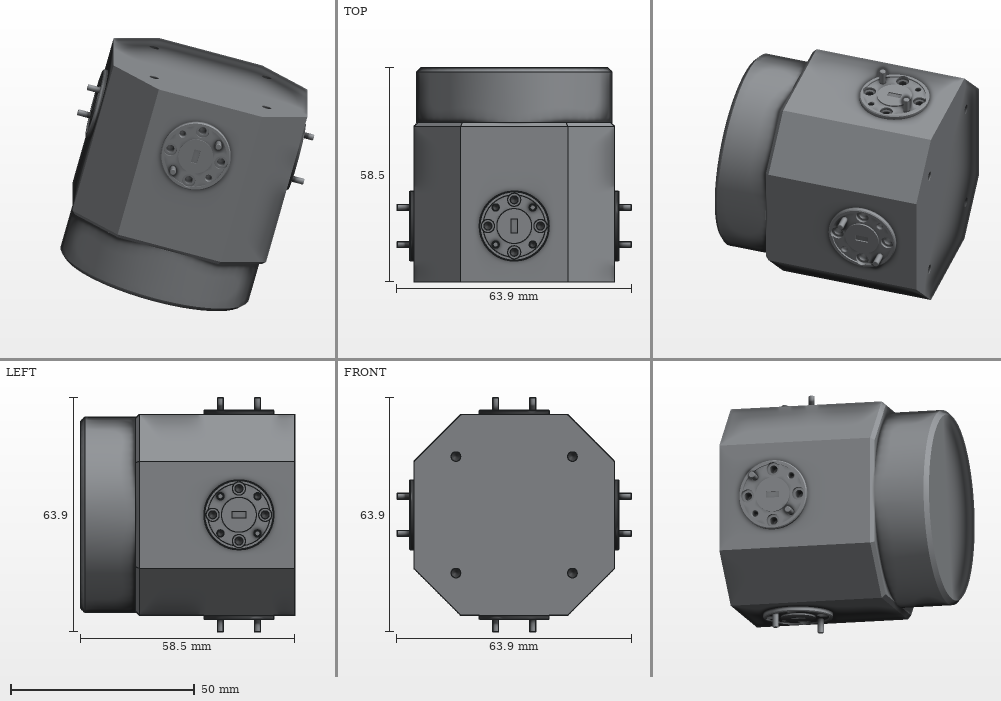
import cadquery as cq
import math

TOTAL_WIDTH = 63.9
TOTAL_LENGTH = 58.45
BLOCK_WIDTH = 54.75
BLOCK_CORNER = 12.8
BLOCK_REAR_CHAMFER = 1.0

CAP_DIAMETER = 53.35
CAP_LENGTH = 15.0
CAP_CHAMFER = 1.2
BLOCK_LENGTH = TOTAL_LENGTH - CAP_LENGTH

MOUNT_PITCH = 31.75
MOUNT_DIAMETER = 2.6
MOUNT_DEPTH = 5.1
DRILL_POINT_ANGLE = 118.0

FLANGE_COUNT = 4
FLANGE_Y = 15.25
FLANGE_DIAMETER = 19.1
FLANGE_HEIGHT = 1.2
FLANGE_CHAMFER = 0.25
FLANGE_FACE = BLOCK_WIDTH / 2 + FLANGE_HEIGHT
RECESS_DIAMETER = 17.0
BOSS_DIAMETER = 9.5
RECESS_DEPTH = 0.45
RECESS_FLOOR = FLANGE_FACE - RECESS_DEPTH

WINDOW_WIDTH = 1.7
WINDOW_LENGTH = 3.8
WINDOW_DEPTH = 0.3

BOLT_CIRCLE = 14.3
SCREW_DIAMETER = 2.2
SCREW_DEPTH = 5.1
COUNTERBORE_DIAMETER = 3.6
COUNTERBORE_DEPTH = 1.2
DOWEL_DIAMETER = 1.65
DOWEL_DEPTH = 3.85
DOWEL_COUNTERSINK = 0.16
PIN_TIP_CHAMFER = 0.1
PIN_TIP = TOTAL_WIDTH / 2
PIN_END = RECESS_FLOOR - DOWEL_DEPTH


def bolt_circle_points(angles):
    """Points on the flange bolt circle, as (X, Y) pairs on the upper flange."""
    radius = BOLT_CIRCLE / 2
    return [
        (
            radius * math.cos(math.radians(angle)),
            FLANGE_Y + radius * math.sin(math.radians(angle)),
        )
        for angle in angles
    ]


SCREW_POINTS = bolt_circle_points([0, 90, 180, 270])
PIN_POINTS = bolt_circle_points([45, 225])
DOWEL_POINTS = bolt_circle_points([135, 315])


def level(z):
    """A workplane at height z, facing up."""
    return cq.Workplane("XY", origin=(0, 0, z))


def around_housing(shape):
    """Copies of an upper-flange feature, one for each main flat."""
    step = 360 / FLANGE_COUNT
    return [shape.rotate((0, 0, 0), (0, 1, 0), step * i) for i in range(FLANGE_COUNT)]


def drilled_hole(diameter, depth):
    """A drill-shaped cutter: a cylinder going down from the origin, with a conical tip."""
    radius = diameter / 2
    tip_length = radius / math.tan(math.radians(DRILL_POINT_ANGLE / 2))
    profile = [(0, 0), (radius, 0), (radius, -depth), (0, -depth - tip_length)]
    return cq.Workplane("XZ").polyline(profile).close().revolve(360, (0, 0), (0, 1))


def make_block():
    """The octagonal block, chamfered around its rear face."""
    block = (
        cq.Workplane("XZ")
        .rect(BLOCK_WIDTH, BLOCK_WIDTH)
        .extrude(-BLOCK_LENGTH)
        .edges("|Y")
        .chamfer(BLOCK_CORNER)
    )
    return block.faces(">Y").edges().chamfer(BLOCK_REAR_CHAMFER)


def make_cap():
    """The round cap, chamfered around its rear face."""
    cap = (
        cq.Workplane("XZ", origin=(0, BLOCK_LENGTH, 0))
        .circle(CAP_DIAMETER / 2)
        .extrude(-CAP_LENGTH)
    )
    return cap.faces(">Y").edges().chamfer(CAP_CHAMFER)


def cut_mounting_holes(body):
    """Cut the four blind holes into the front face, pointing along +Y."""
    cutter = drilled_hole(MOUNT_DIAMETER, MOUNT_DEPTH).rotate((0, 0, 0), (1, 0, 0), 90)
    offset = MOUNT_PITCH / 2
    for x in (-offset, offset):
        for z in (-offset, offset):
            body = body.cut(cutter.translate((x, 0, z)))
    return body


def make_flange():
    """The upper flange: a disc with a raised rim and a raised centre boss."""
    flange = (
        level(BLOCK_WIDTH / 2)
        .center(0, FLANGE_Y)
        .circle(FLANGE_DIAMETER / 2)
        .extrude(FLANGE_HEIGHT)
        .faces(">Z")
        .edges()
        .chamfer(FLANGE_CHAMFER)
    )
    recess = (
        level(RECESS_FLOOR)
        .center(0, FLANGE_Y)
        .circle(RECESS_DIAMETER / 2)
        .circle(BOSS_DIAMETER / 2)
        .extrude(RECESS_DEPTH)
    )
    return flange.cut(recess)


def flange_cutters():
    """Everything cut into the upper flange and the block below it."""
    window = (
        level(FLANGE_FACE - WINDOW_DEPTH)
        .center(0, FLANGE_Y)
        .rect(WINDOW_WIDTH, WINDOW_LENGTH)
        .extrude(WINDOW_DEPTH)
    )
    counterbores = (
        level(FLANGE_FACE - COUNTERBORE_DEPTH)
        .pushPoints(SCREW_POINTS)
        .circle(COUNTERBORE_DIAMETER / 2)
        .extrude(COUNTERBORE_DEPTH)
    )
    pin_sockets = (
        level(PIN_END)
        .pushPoints(PIN_POINTS)
        .circle(DOWEL_DIAMETER / 2)
        .extrude(DOWEL_DEPTH)
    )
    screw_hole = drilled_hole(SCREW_DIAMETER, SCREW_DEPTH)
    dowel_hole = drilled_hole(DOWEL_DIAMETER, DOWEL_DEPTH)
    screw_holes = [screw_hole.translate((x, y, RECESS_FLOOR)) for x, y in SCREW_POINTS]
    dowel_holes = [dowel_hole.translate((x, y, RECESS_FLOOR)) for x, y in DOWEL_POINTS]
    countersinks = (
        level(RECESS_FLOOR)
        .pushPoints(PIN_POINTS + DOWEL_POINTS)
        .circle(DOWEL_DIAMETER / 2 + DOWEL_COUNTERSINK)
        .extrude(-DOWEL_COUNTERSINK, taper=45)
    )
    return [window, counterbores, pin_sockets, countersinks, *screw_holes, *dowel_holes]


def make_housing():
    """The block, cap and flanges as one body."""
    body = cut_mounting_holes(make_block().union(make_cap()))
    for flange in around_housing(make_flange()):
        body = body.union(flange)
    for cutter in flange_cutters():
        for copy in around_housing(cutter):
            body = body.cut(copy)
    return body


def make_pins():
    """Solids of the two dowel pins in each flange, seated in their sockets."""
    pins = []
    for point in PIN_POINTS:
        pin = (
            level(PIN_END)
            .pushPoints([point])
            .circle(DOWEL_DIAMETER / 2)
            .extrude(PIN_TIP - PIN_END)
            .faces(">Z")
            .edges()
            .chamfer(PIN_TIP_CHAMFER)
        )
        pins.extend(copy.val() for copy in around_housing(pin))
    return pins


housing = make_housing()
pins = make_pins()
result = cq.Compound.makeCompound([housing.solids().val(), *pins])